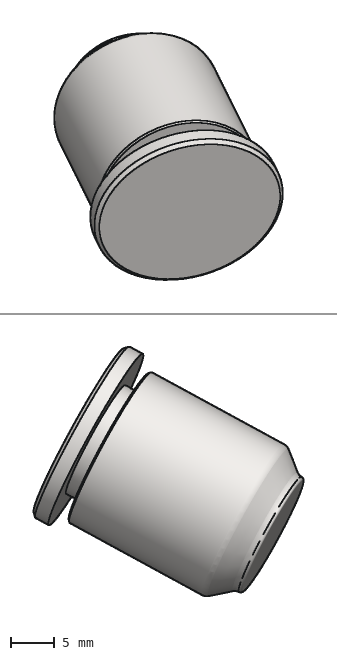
import cadquery as cq
import math


total_length = 25.4
flange_thickness = 2.2
neck_length = 1.75
flange_start = total_length - flange_thickness
body_end = flange_start - neck_length

nose_radius = 7.525
body_radius = 9.85
neck_radius = 7.1

cone_angle = math.radians(40)
cone_end = 3.5
cone_start = cone_end - (body_radius - nose_radius) / math.tan(cone_angle)

nose_round = 0.35
cone_blend = 1.0
body_chamfer = 0.2
flange_chamfer = 0.45

flange_half_width = 11.25
flange_half_height = 9.75


def edges_at(shape, x):
    """Select the edges lying in the plane across the axis at x."""
    reach = 2 * body_radius
    half_slab = 0.01
    low_corner = (x - half_slab, -reach, -reach)
    high_corner = (x + half_slab, reach, reach)
    slab = cq.selectors.BoxSelector(low_corner, high_corner, boundingbox=True)
    return shape.edges(slab)


def turned_body():
    """Nose, cone and cylindrical body, with all edge rounds."""
    body = (
        cq.Workplane("XY")
        .polyline([
            (0, 0),
            (0, nose_radius),
            (cone_start, nose_radius),
            (cone_end, body_radius),
            (body_end, body_radius),
            (body_end, 0),
        ])
        .close()
        .revolve(360, (0, 0, 0), (1, 0, 0))
    )
    body = body.faces("<X").edges().fillet(nose_round)
    body = edges_at(body, cone_start).fillet(cone_blend)
    body = edges_at(body, cone_end).fillet(cone_blend)
    return body.faces(">X").edges().chamfer(body_chamfer)


def neck():
    """Narrow neck joining the body to the flange."""
    return cq.Workplane("YZ", origin=(body_end, 0, 0)).circle(neck_radius).extrude(neck_length)


def flange():
    """Oval end flange, wider along Y, chamfered on its outer face."""
    plate = (
        cq.Workplane("YZ", origin=(flange_start, 0, 0))
        .ellipse(flange_half_width, flange_half_height)
        .extrude(flange_thickness)
    )
    return plate.faces(">X").edges().chamfer(flange_chamfer)


result = turned_body().union(neck()).union(flange())